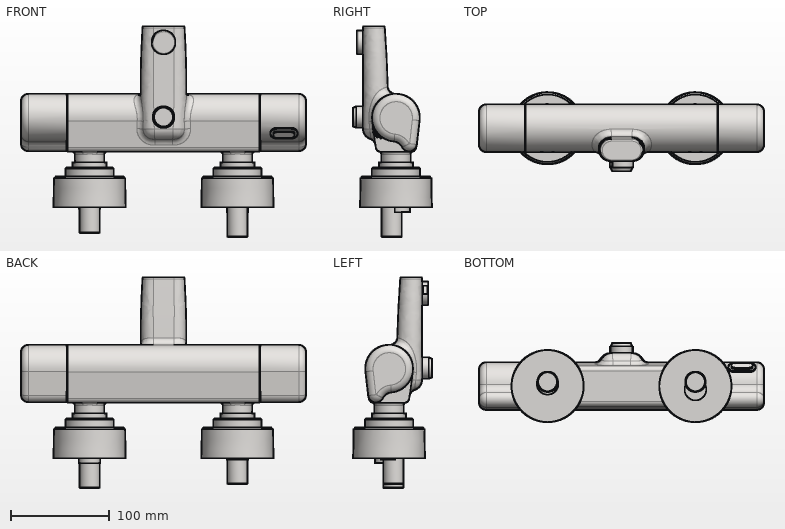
import cadquery as cq
import math

LENGTH = 289.0
BARREL_RADIUS = 24.3

BODY_HALF = 97.0
BODY_BOTTOM = -34.7
BODY_DRAFT = 7.5
BODY_CORNER = 5.2
SEAM_WIDTH = 1.0
SEAM_DEPTH = 1.2

TIP_RADIUS = 8.0
TIP_Y = 13.3
TIP_Z = -26.0
HOLLOW_RADIUS = 10.0
KNOB_ROUND = 7.8
BUTTON_LENGTH = 27.8
BUTTON_WIDTH = 12.7
BUTTON_X = 122.0
BUTTON_TILT = 40.0
BUTTON_REACH = 27.5
PAD_HEIGHT = 2.0
PAD_INSET = 3.0

ARM_TOP = 92.8
ARM_SHOULDER = 14.5
ARM_BOTTOM = -22.3
ARM_FRONT = -33.5
ARM_TOP_WIDTH = 42.8
ARM_TOP_DEPTH = 22.3
ARM_SHOULDER_WIDTH = 46.3
ARM_SHOULDER_DEPTH = 25.7
ARM_BOTTOM_WIDTH = 44.0
ARM_BOTTOM_ROUND = 11.3
ARM_TOP_ROUND = 1.7
ARM_BLEND = 7.2

CAP_Z = 76.3
CAP_RADIUS = 12.0
CAP_FRONT = -40.0
CAP_ROUND = 1.2
NOTCH_DEPTH = 1.2
NOTCH_HEIGHT = 8.7
NOTCH_WIDTH = 4.0
NOTCH_ANGLE = 18.0
OUTLET_Z = 0.5
OUTLET_RADIUS = 11.0
OUTLET_FRONT = -43.7
OUTLET_CHAMFER_LENGTH = 3.5
OUTLET_CHAMFER = 1.5

UNION_X = 75.0
NECK_RADIUS = 15.0
NECK_BLEND = 2.3
RING_RADIUS = 17.3
RING_TOP = -45.5
NUT_RADIUS = 24.5
NUT_TOP = -50.3
NUT_CHAMFER = 1.5
FLANGE_TOP_RADIUS = 36.0
FLANGE_RADIUS = 36.7
FLANGE_TOP = -59.5
FLANGE_BOTTOM = -90.8
FLANGE_CHAMFER = 2.0
PIPE_RADIUS = 10.5
PIPE_Y = -4.3
PIPE_CHAMFER = 1.0
LEFT_PIPE_BOTTOM = -117.0
RIGHT_PIPE_BOTTOM = -121.0
COLLAR_RADIUS = 11.0
LEFT_COLLAR_Y = -2.3
RIGHT_COLLAR_Y = 3.5
LEFT_COLLAR_BOTTOM = -92.2
RIGHT_COLLAR_BOTTOM = -95.7


def cylinder_z(x, y, radius, top, bottom):
    return cq.Workplane("XY", origin=(x, y, bottom)).circle(radius).extrude(top - bottom)


def cylinder_to_front(z, radius, front):
    """Round boss standing out of the arm towards -Y, with its root buried inside the arm."""
    root = ARM_FRONT + ARM_TOP_DEPTH / 2
    return cq.Workplane("XZ", origin=(0, root, z)).circle(radius).extrude(root - front)


def make_body():
    """Barrel whose lower half drops into two leaning flanks and a flat underside."""
    draft = math.radians(BODY_DRAFT)
    tangent_y = BARREL_RADIUS * math.cos(draft)
    tangent_z = -BARREL_RADIUS * math.sin(draft)
    bottom_y = tangent_y - (tangent_z - BODY_BOTTOM) * math.tan(draft)
    return (
        cq.Workplane("YZ", origin=(-BODY_HALF, 0, 0))
        .moveTo(-bottom_y, BODY_BOTTOM)
        .lineTo(bottom_y, BODY_BOTTOM)
        .lineTo(tangent_y, tangent_z)
        .threePointArc((0, BARREL_RADIUS), (-tangent_y, tangent_z))
        .close()
        .extrude(2 * BODY_HALF)
        .edges("|X and <Z")
        .fillet(BODY_CORNER)
    )


def make_knob(side):
    """Round knob with a lever tip hanging at the rear; side is -1 for left and 1 for right."""
    tip_distance = math.hypot(TIP_Y, TIP_Z)
    tip_angle = math.atan2(TIP_Z, TIP_Y)

    flank = tip_angle + math.acos((BARREL_RADIUS - TIP_RADIUS) / tip_distance)

    to_barrel = BARREL_RADIUS + HOLLOW_RADIUS
    to_tip = TIP_RADIUS + HOLLOW_RADIUS
    spread = math.acos((to_barrel**2 + tip_distance**2 - to_tip**2) / (2 * to_barrel * tip_distance))
    hollow_angle = tip_angle - spread
    hollow_y = to_barrel * math.cos(hollow_angle)
    hollow_z = to_barrel * math.sin(hollow_angle)
    hollow_to_tip = math.atan2(TIP_Z - hollow_z, TIP_Y - hollow_y)
    hollow_middle = (hollow_to_tip + hollow_angle + math.pi) / 2

    def on_barrel(angle):
        return (BARREL_RADIUS * math.cos(angle), BARREL_RADIUS * math.sin(angle))

    def on_tip(angle):
        return (TIP_Y + TIP_RADIUS * math.cos(angle), TIP_Z + TIP_RADIUS * math.sin(angle))

    hollow_point = (
        hollow_y + HOLLOW_RADIUS * math.cos(hollow_middle),
        hollow_z + HOLLOW_RADIUS * math.sin(hollow_middle),
    )
    inner_x = side * (BODY_HALF + SEAM_WIDTH)
    return (
        cq.Workplane("YZ", origin=(inner_x, 0, 0))
        .moveTo(*on_barrel(flank))
        .threePointArc(on_barrel(tip_angle + math.pi), on_barrel(hollow_angle))
        .threePointArc(hollow_point, on_tip(hollow_to_tip + math.pi))
        .threePointArc(on_tip(tip_angle), on_tip(flank))
        .close()
        .extrude(side * LENGTH / 2 - inner_x)
        .faces(">X" if side > 0 else "<X")
        .edges()
        .fillet(KNOB_ROUND)
    )


def make_button():
    """Oblong push button with a raised pad on the lower front of the right knob."""
    plane = cq.Workplane("XZ", origin=(BUTTON_X, 0, 0))
    rim = plane.slot2D(BUTTON_LENGTH, BUTTON_WIDTH).extrude(BUTTON_REACH - PAD_HEIGHT)
    pad = plane.slot2D(BUTTON_LENGTH - 2 * PAD_INSET, BUTTON_WIDTH - 2 * PAD_INSET).extrude(BUTTON_REACH)
    return rim.union(pad).rotate((0, 0, 0), (1, 0, 0), BUTTON_TILT)


def arm_section(z, width, depth):
    section = cq.Workplane("XY", origin=(0, ARM_FRONT + depth / 2, z)).slot2D(width, depth)
    return section.wires().val()


def make_arm():
    """Oblong column with an upright front; it swells to a shoulder and narrows again below."""
    sections = [
        arm_section(ARM_BOTTOM, ARM_BOTTOM_WIDTH, ARM_SHOULDER_DEPTH),
        arm_section(ARM_SHOULDER, ARM_SHOULDER_WIDTH, ARM_SHOULDER_DEPTH),
        arm_section(ARM_TOP, ARM_TOP_WIDTH, ARM_TOP_DEPTH),
    ]
    arm = cq.Workplane(cq.Solid.makeLoft(sections))
    arm = arm.faces(">Z").edges().fillet(ARM_TOP_ROUND)
    return arm.faces("<Z").edges().fillet(ARM_BOTTOM_ROUND)


def make_cap():
    cap = cylinder_to_front(CAP_Z, CAP_RADIUS, CAP_FRONT).faces("<Y").edges().fillet(CAP_ROUND)
    notch_y = (ARM_FRONT + CAP_FRONT) / 2
    notch = cq.Workplane("XY", origin=(-CAP_RADIUS, notch_y, CAP_Z))
    notch = notch.box(2 * NOTCH_DEPTH, NOTCH_WIDTH, NOTCH_HEIGHT)
    return cap.cut(notch.rotate((0, 0, CAP_Z), (0, 1, CAP_Z), NOTCH_ANGLE))


def make_outlet():
    outlet = cylinder_to_front(OUTLET_Z, OUTLET_RADIUS, OUTLET_FRONT)
    return outlet.faces("<Y").edges().chamfer(OUTLET_CHAMFER_LENGTH, OUTLET_CHAMFER)


def make_union(x, collar_y, collar_bottom, pipe_bottom):
    """Ring, nut, wall flange and offset supply pipe below one neck."""
    ring = cylinder_z(x, 0, RING_RADIUS, RING_TOP, FLANGE_TOP)
    nut = cylinder_z(x, 0, NUT_RADIUS, NUT_TOP, FLANGE_TOP).faces(">Z").edges().chamfer(NUT_CHAMFER)
    flange = (
        cq.Workplane("XY", origin=(x, 0, FLANGE_BOTTOM))
        .circle(FLANGE_RADIUS)
        .workplane(offset=FLANGE_TOP - FLANGE_BOTTOM)
        .circle(FLANGE_TOP_RADIUS)
        .loft()
        .faces(">Z")
        .edges()
        .chamfer(FLANGE_CHAMFER)
    )
    collar = cylinder_z(x, collar_y, COLLAR_RADIUS, FLANGE_BOTTOM, collar_bottom)
    pipe = cylinder_z(x, PIPE_Y, PIPE_RADIUS, FLANGE_BOTTOM, pipe_bottom)
    pipe = pipe.faces("<Z").edges().chamfer(PIPE_CHAMFER)
    return ring.union(nut).union(flange).union(collar).union(pipe)


body = make_body()
for neck_x in (-UNION_X, UNION_X):
    body = body.union(cylinder_z(neck_x, 0, NECK_RADIUS, 0, RING_TOP))
neck_zone = cq.selectors.BoxSelector(
    (-BODY_HALF, -NECK_RADIUS, BODY_BOTTOM - NECK_BLEND),
    (BODY_HALF, NECK_RADIUS, BODY_BOTTOM + NECK_BLEND),
)
body = body.edges("%CIRCLE").edges(neck_zone).fillet(NECK_BLEND)

arm_zone = cq.selectors.BoxSelector(
    (-ARM_SHOULDER_WIDTH / 2, -BARREL_RADIUS, ARM_BOTTOM - ARM_BLEND),
    (ARM_SHOULDER_WIDTH / 2, 0, BARREL_RADIUS),
)
result = body.union(make_arm())
result = result.edges(arm_zone).edges("not |X").fillet(ARM_BLEND)
result = result.union(make_cap()).union(make_outlet())

seam_half = BODY_HALF + SEAM_WIDTH
seam_core = cq.Workplane("YZ", origin=(-seam_half, 0, 0)).circle(BARREL_RADIUS - SEAM_DEPTH)
result = result.union(seam_core.extrude(2 * seam_half))
for knob_side in (-1, 1):
    result = result.union(make_knob(knob_side))
result = result.union(make_button())

result = result.union(make_union(-UNION_X, LEFT_COLLAR_Y, LEFT_COLLAR_BOTTOM, LEFT_PIPE_BOTTOM))
result = result.union(make_union(UNION_X, RIGHT_COLLAR_Y, RIGHT_COLLAR_BOTTOM, RIGHT_PIPE_BOTTOM))